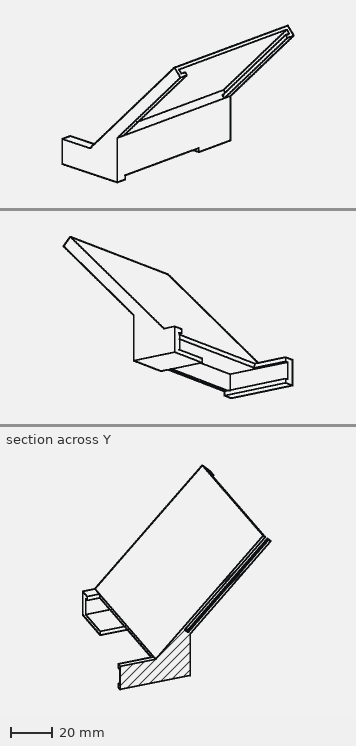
import cadquery as cq
import math

width = 79.6
base_length = 36.8
base_height = 13.0

plate_angle = math.radians(45)
plate_start = 18.55
plate_length = 79.5
plate_thickness = 5.8

channel_floor = 2.15
channel_roof = 2.15
channel_side = 4.0
channel_back_wall = 2.15
roof_undercut = 0.21
lip_width = 5.7
far_arm_start = 12.1
far_floor_width = 22.3

slot_skin = 1.75
slot_lip = 1.75
slot_side = 2.0
slot_lip_width = 4.5

slope_x = math.cos(plate_angle)
slope_z = math.sin(plate_angle)


def box(x0, x1, y0, y1, z0, z1):
    """Axis-aligned box between two opposite corners."""
    return cq.Workplane("XY").box(x1 - x0, y1 - y0, z1 - z0, centered=False).translate((x0, y0, z0))


def plate_point(along, depth):
    """XZ point at a distance up the plate and a depth below its upper face."""
    x = plate_start + along * slope_x + depth * slope_z
    z = base_height + along * slope_z - depth * slope_x
    return x, z


def plate_cut(start, top_depth, bottom_depth, side):
    """Prism below the plate's upper face, from start through the plate's upper end."""
    end = plate_length + plate_thickness
    corners = [
        plate_point(start, top_depth),
        plate_point(end, top_depth),
        plate_point(end, bottom_depth),
        plate_point(start, bottom_depth),
    ]
    prism = cq.Workplane("XZ").polyline(corners).close().extrude(-(width - 2 * side))
    return prism.translate((0, side, 0))


tip_x, tip_z = plate_point(plate_length, plate_thickness)
underside_z = tip_z - (tip_x - base_length) * math.tan(plate_angle)
profile = [
    (0, 0),
    (base_length, 0),
    (base_length, underside_z),
    (tip_x, tip_z),
    plate_point(plate_length, 0),
    (plate_start, base_height),
    (0, base_height),
]
body = cq.Workplane("XZ").polyline(profile).close().extrude(-width)

channel_top = base_height - channel_roof
channel_end = base_length - channel_back_wall
body = body.cut(box(0, channel_end, channel_side, width - channel_side, channel_floor, channel_top))
roof_opening = [
    (0, base_height),
    (plate_start, base_height),
    (plate_start + roof_undercut, channel_top),
    (0, channel_top),
]
roof_cut = cq.Workplane("XZ").polyline(roof_opening).close().extrude(-(width - 2 * lip_width))
body = body.cut(roof_cut.translate((0, lip_width, 0)))
body = body.cut(box(0, base_length, lip_width, width - far_floor_width, 0, channel_floor))

body = body.cut(box(0, far_arm_start, lip_width, width, 0, base_height))

slot_start = (base_length - plate_start - plate_thickness * slope_z) / slope_x
body = body.cut(plate_cut(slot_start, slot_skin, plate_thickness - slot_lip, slot_side))
body = body.cut(plate_cut(slot_start, slot_skin, 2 * plate_thickness, slot_lip_width))

result = body